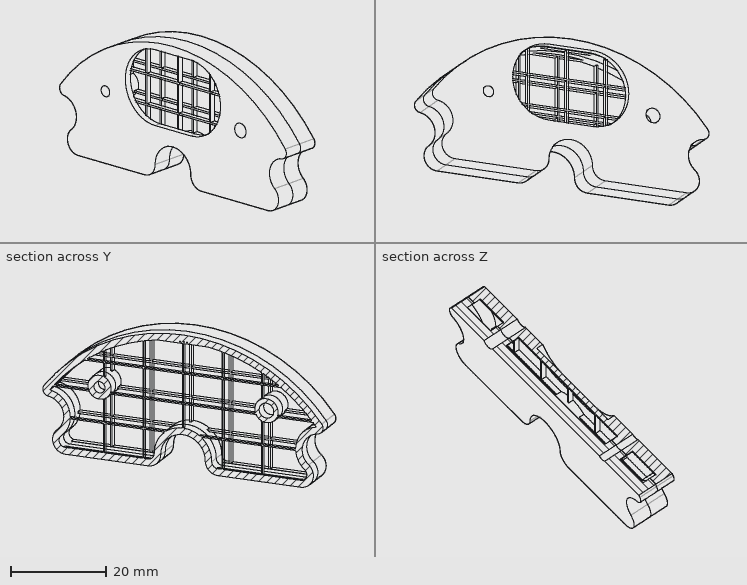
import cadquery as cq
import math

CASE_HEIGHT = 30.28
CASE_WIDTH = 63.88
HALF_DEPTH = 4.5
WALL = 1.6
CAVITY_DEPTH = HALF_DEPTH - WALL

NOTCH_RADIUS = 5.0
FOOT_RADIUS = 3.0
FOOT_X = 26.74
SIDE_NOTCH_RADIUS = 4.0
SIDE_NOTCH_X = 31.19
TIP_RADIUS = 1.5

WINDOW_LENGTH = 26.8
WINDOW_HEIGHT = 16.8
WINDOW_Z = 20.0

BAR_WIDTH = 0.4
BAR_DEPTH = 1.2
BAR_PITCH_X = 9.0
BAR_PITCH_Z = 6.75
LATTICE_Z = 14.95
BAR_STEPS = range(-2, 3)

SCREW_X = 19.0
SCREW_Z = 16.0
LEFT_HOLE_DIAMETER = 2.4
RIGHT_HOLE_DIAMETER = 3.2
BOSS_DIAMETER = 5.4

INNER_FOOT = (NOTCH_RADIUS + FOOT_RADIUS, FOOT_RADIUS)
OUTER_FOOT = (FOOT_X, FOOT_RADIUS)
SIDE_NOTCH_Z = FOOT_RADIUS + math.sqrt(
    (FOOT_RADIUS + SIDE_NOTCH_RADIUS) ** 2 - (SIDE_NOTCH_X - FOOT_X) ** 2
)
SIDE_NOTCH = (SIDE_NOTCH_X, SIDE_NOTCH_Z)
TIP_X = CASE_WIDTH / 2 - TIP_RADIUS
TIP_Z = SIDE_NOTCH_Z + math.sqrt(
    (SIDE_NOTCH_RADIUS + TIP_RADIUS) ** 2 - (SIDE_NOTCH_X - TIP_X) ** 2
)
TIP = (TIP_X, TIP_Z)

CROWN_DROP = CASE_HEIGHT - TIP_Z
CROWN_RADIUS = (TIP_X**2 + CROWN_DROP**2 - TIP_RADIUS**2) / (2 * (CROWN_DROP - TIP_RADIUS))
CROWN = (0, CASE_HEIGHT - CROWN_RADIUS)


def unit(start, end):
    """Direction from one point to another."""
    length = math.dist(start, end)
    return ((end[0] - start[0]) / length, (end[1] - start[1]) / length)


def along(start, direction, distance):
    return (start[0] + direction[0] * distance, start[1] + direction[1] * distance)


def mirrored(point):
    return (-point[0], point[1])


def plane_at(y, x=0, z=0):
    """Workplane facing -Y, so a negative extrusion runs towards +Y."""
    return cq.Workplane("XZ", origin=(x, y, z))


def outline_wire(y):
    """Closed case outline at the given Y."""
    slant = math.sqrt(0.5)
    notch_top = (0, FOOT_RADIUS + NOTCH_RADIUS)
    notch_end = (NOTCH_RADIUS, FOOT_RADIUS)
    inner_foot_mid = along(INNER_FOOT, (-slant, -slant), FOOT_RADIUS)
    inner_foot_end = (INNER_FOOT[0], 0)
    outer_foot_start = (FOOT_X, 0)
    outer_foot_mid = along(OUTER_FOOT, (slant, -slant), FOOT_RADIUS)
    outer_foot_end = along(OUTER_FOOT, unit(OUTER_FOOT, SIDE_NOTCH), FOOT_RADIUS)
    side_notch_mid = (SIDE_NOTCH_X - SIDE_NOTCH_RADIUS, SIDE_NOTCH_Z)
    side_notch_end = along(TIP, unit(TIP, SIDE_NOTCH), TIP_RADIUS)
    tip_mid = (CASE_WIDTH / 2, TIP_Z)
    tip_end = along(TIP, unit(CROWN, TIP), TIP_RADIUS)
    crown_top = (0, CASE_HEIGHT)
    return (
        plane_at(y)
        .moveTo(*notch_end)
        .threePointArc(inner_foot_mid, inner_foot_end)
        .lineTo(*outer_foot_start)
        .threePointArc(outer_foot_mid, outer_foot_end)
        .threePointArc(side_notch_mid, side_notch_end)
        .threePointArc(tip_mid, tip_end)
        .threePointArc(crown_top, mirrored(tip_end))
        .threePointArc(mirrored(tip_mid), mirrored(side_notch_end))
        .threePointArc(mirrored(side_notch_mid), mirrored(outer_foot_end))
        .threePointArc(mirrored(outer_foot_mid), mirrored(outer_foot_start))
        .lineTo(*mirrored(inner_foot_end))
        .threePointArc(mirrored(inner_foot_mid), mirrored(notch_end))
        .threePointArc(notch_top, notch_end)
        .close()
    )


def inner_prism(y_start, depth):
    """Prism of the outline moved inwards by the wall thickness."""
    return outline_wire(y_start).offset2D(-WALL).extrude(-depth)


def cylinder(x, diameter, y_start, depth):
    return plane_at(y_start, x, SCREW_Z).circle(diameter / 2).extrude(-depth)


def lattice(y_start):
    """Crossing bars that reach the walls of the cavity."""
    bars = cq.Workplane("XY")
    for step in BAR_STEPS:
        upright = plane_at(y_start, x=step * BAR_PITCH_X, z=LATTICE_Z)
        bars = bars.union(upright.rect(BAR_WIDTH, 2 * CASE_HEIGHT).extrude(-BAR_DEPTH))
        level = plane_at(y_start, z=LATTICE_Z + step * BAR_PITCH_Z)
        bars = bars.union(level.rect(CASE_WIDTH, BAR_WIDTH).extrude(-BAR_DEPTH))
    return bars.intersect(inner_prism(y_start, BAR_DEPTH))


def half_shell(y_start, y_cavity, y_lattice):
    """Half of the case: wall, cavity, lattice, and bosses with screw holes."""
    shell = outline_wire(y_start).extrude(-HALF_DEPTH)
    shell = shell.cut(inner_prism(y_cavity, CAVITY_DEPTH))
    shell = shell.union(lattice(y_lattice))
    for x, hole_diameter in ((-SCREW_X, LEFT_HOLE_DIAMETER), (SCREW_X, RIGHT_HOLE_DIAMETER)):
        shell = shell.union(cylinder(x, BOSS_DIAMETER, y_cavity, CAVITY_DEPTH))
        shell = shell.cut(cylinder(x, hole_diameter, y_start, HALF_DEPTH))
    return shell


def window():
    """Rounded opening through the front wall, which leaves the lattice in place."""
    return plane_at(-HALF_DEPTH, z=WINDOW_Z).slot2D(WINDOW_LENGTH, WINDOW_HEIGHT).extrude(-WALL)


front_shell = half_shell(-HALF_DEPTH, -CAVITY_DEPTH, -CAVITY_DEPTH).cut(window())
back_shell = half_shell(0, 0, CAVITY_DEPTH - BAR_DEPTH)

result = cq.Compound.makeCompound([front_shell.val(), back_shell.val()])